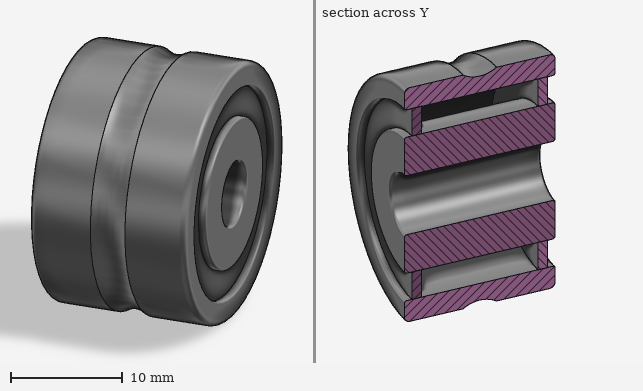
import cadquery as cq
import math

width = 15.0
half_width = width / 2
rim_radius = 12.0
rim_round = 0.6

groove_radius = 3.0
groove_depth = 0.5
groove_floor = rim_radius - groove_depth
groove_half_width = math.sqrt(groove_radius**2 - (groove_radius - groove_depth) ** 2)

bore_radius = 3.0
inner_ring_radius = 7.0
outer_ring_bore_radius = 9.75
ring_round = 0.3

shield_recess = 0.75
shield_thickness = 1.0

AXIS_START = (0, 0, 0)
AXIS_END = (1, 0, 0)


def tube(start, length, outer_radius, inner_radius):
    """Straight tube along X, from start to start + length."""
    return (
        cq.Workplane("YZ", origin=(start, 0, 0))
        .circle(outer_radius)
        .circle(inner_radius)
        .extrude(length)
    )


def end_edges(ring, radius):
    """The circular edges of the given radius on both end faces of a ring."""
    tolerance = 0.01
    edges = ring.faces("<X or >X").edges()
    return edges.filter(lambda edge: abs(edge.radius() - radius) < tolerance)


def build_outer_ring():
    """Roller rim with the guide groove and rounded edges."""
    profile = (
        cq.Workplane("XY")
        .moveTo(-half_width, outer_ring_bore_radius)
        .lineTo(-half_width, rim_radius)
        .lineTo(-groove_half_width, rim_radius)
        .threePointArc((0, groove_floor), (groove_half_width, rim_radius))
        .lineTo(half_width, rim_radius)
        .lineTo(half_width, outer_ring_bore_radius)
        .close()
    )
    ring = profile.revolve(360, AXIS_START, AXIS_END)
    ring = end_edges(ring, rim_radius).fillet(rim_round)
    return end_edges(ring, outer_ring_bore_radius).fillet(ring_round)


def build_inner_ring():
    """Inner ring with the through bore, rounded at both ends."""
    ring = tube(-half_width, width, inner_ring_radius, bore_radius)
    return ring.faces("<X or >X").edges().fillet(ring_round)


def build_shield(start):
    """Flat washer filling the gap between the two rings."""
    return tube(start, shield_thickness, outer_ring_bore_radius, inner_ring_radius)


outer_ring = build_outer_ring()
inner_ring = build_inner_ring()

shield_starts = [
    -half_width + shield_recess,
    half_width - shield_recess - shield_thickness,
]
shields = [build_shield(start).val() for start in shield_starts]

result = cq.Compound.makeCompound([outer_ring.val(), inner_ring.val(), *shields])